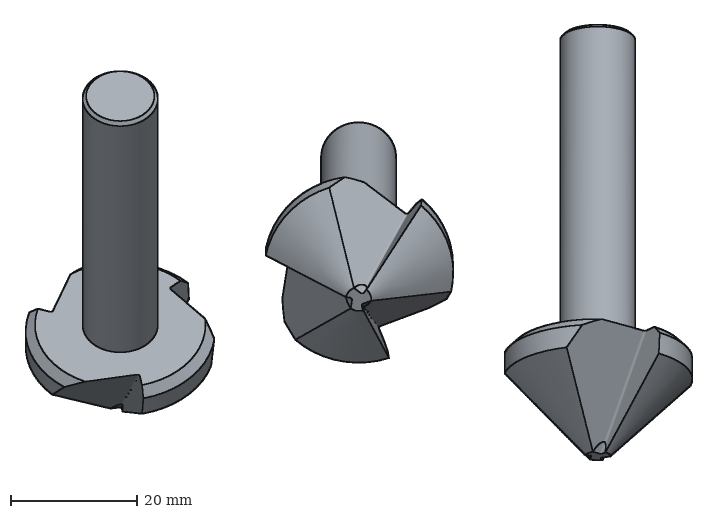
import cadquery as cq

TOTAL_HEIGHT = 71.0
HEAD_RADIUS = 15.0
TIP_RADIUS = 2.0
HEAD_HEIGHT = 18.0
HEAD_CHAMFER = 1.5
CONE_HEIGHT = HEAD_RADIUS - TIP_RADIUS
SHANK_RADIUS = 5.95
SHANK_CHAMFER = 0.6
SPIGOT_RADIUS = TIP_RADIUS

FLUTE_COUNT = 3
FLUTE_TIP_DEPTH = 1.0
FLUTE_TOP_DEPTH = 11.1
FACE_TOP_SHIFT = 1.0
FLUTE_CORNER_RADIUS = 0.35
FLUTE_REACH = 2 * HEAD_RADIUS


def make_head_blank():
    """Conical head with a cylindrical rim and a chamfered top edge."""
    return (
        cq.Workplane("XZ")
        .lineTo(TIP_RADIUS, 0)
        .lineTo(HEAD_RADIUS, CONE_HEIGHT)
        .lineTo(HEAD_RADIUS, HEAD_HEIGHT - HEAD_CHAMFER)
        .lineTo(HEAD_RADIUS - HEAD_CHAMFER, HEAD_HEIGHT)
        .lineTo(0, HEAD_HEIGHT)
        .close()
        .revolve(360, (0, 0, 0), (0, 1, 0))
    )


def flute_section(height, floor_distance, face_y):
    """Rectangular wire of the flute at one height, open towards -X and +Y."""
    return cq.Wire.makePolygon(
        [
            cq.Vector(-floor_distance, face_y, height),
            cq.Vector(-FLUTE_REACH, face_y, height),
            cq.Vector(-FLUTE_REACH, FLUTE_REACH, height),
            cq.Vector(-floor_distance, FLUTE_REACH, height),
        ],
        close=True,
    )


def make_flute_cutter():
    """Ruled solid removed from the head for the flute on the -X side."""
    tip_section = flute_section(0, FLUTE_TIP_DEPTH, 0)
    top_section = flute_section(HEAD_HEIGHT, FLUTE_TOP_DEPTH, -FACE_TOP_SHIFT)
    flute = cq.Workplane(cq.Solid.makeLoft([tip_section, top_section], True))
    corner_middle = (
        -(FLUTE_TIP_DEPTH + FLUTE_TOP_DEPTH) / 2,
        -FACE_TOP_SHIFT / 2,
        HEAD_HEIGHT / 2,
    )
    corner_edge = cq.selectors.NearestToPointSelector(corner_middle)
    return flute.edges(corner_edge).fillet(FLUTE_CORNER_RADIUS)


def cut_flutes(body):
    """Cut the flutes, spaced evenly around the axis, into a body."""
    flute = make_flute_cutter()
    for index in range(FLUTE_COUNT):
        angle = index * 360 / FLUTE_COUNT
        body = body.cut(flute.rotate((0, 0, 0), (0, 0, 1), angle))
    return body


def make_spigot():
    """Round core along the axis of the head, ground flush with the flutes."""
    return cut_flutes(cq.Workplane("XY").circle(SPIGOT_RADIUS).extrude(HEAD_HEIGHT))


def make_head():
    """Fluted cutting head with a through bore for the spigot."""
    bore = cq.Workplane("XY").circle(SPIGOT_RADIUS).extrude(HEAD_HEIGHT)
    return cut_flutes(make_head_blank().cut(bore))


def make_shank():
    """Round shank chamfered at its free end, with its spigot in the head."""
    shank = (
        cq.Workplane("XY")
        .workplane(offset=HEAD_HEIGHT)
        .circle(SHANK_RADIUS)
        .extrude(TOTAL_HEIGHT - HEAD_HEIGHT)
        .faces(">Z")
        .chamfer(SHANK_CHAMFER)
    )
    return shank.union(make_spigot())


head = make_head()
shank = make_shank()

result = cq.Compound.makeCompound([head.solids().val(), shank.solids().val()])